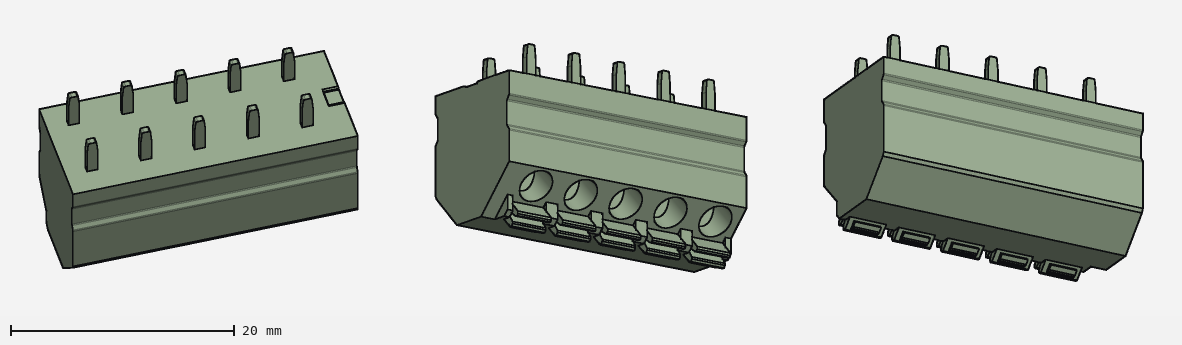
import cadquery as cq
import math

LENGTH = 26.5
WIDTH = 11.05
HEIGHT = 12.67
HALF_LENGTH = LENGTH / 2
HALF_WIDTH = WIDTH / 2

GROOVE_DEPTH = 0.35
GROOVE_FLANK_HEIGHT = 0.45
GROOVE_EDGE_RADIUS = 0.2
LEFT_GROOVE_TOP = -2.23
LEFT_GROOVE_BOTTOM = -5.45
RIGHT_GROOVE_TOP = -1.67
RIGHT_GROOVE_BOTTOM = -4.66

ENTRY_TOP = -8.45
ENTRY_BOTTOM_X = -HALF_WIDTH + HEIGHT + ENTRY_TOP

CORNER_TOP = -9.25
CORNER_BREAK_WIDTH = 0.19
CORNER_BREAK_HEIGHT = 0.37
BOTTOM_RIGHT_X = 2.3

POSITIONS = 5
FIRST_Y = 9.25
LAST_Y = -10.75
PITCH = (FIRST_Y - LAST_Y) / (POSITIONS - 1)
STATION_YS = [FIRST_Y - i * PITCH for i in range(POSITIONS)]

PIN_XS = (-3.15, 2.84)
PIN_THICKNESS = 0.6
PIN_WIDTH = 1.0
PIN_HEIGHT = 3.5
PIN_ROOT_DEPTH = 0.26
PIN_TAPER_HEIGHT = 1.22
PIN_TIP_WIDTH = 0.77
PIN_TIP_RADIUS = 0.19

HOLE_DIAMETER = 3.25
HOLE_Z = -9.8
HOLE_FLOOR_X = -1.78

LEVER_WIDTH = 3.7
HEEL_WIDTH = 2.65
RIB_START_Y = 11.7
RIB_FACE_X = -3.2
RIB_CHAMFER = 0.5
LEVER_BOTTOM = -13.57
LEVER_ROOT = 0.8

RECESS_X = 0.15
RECESS_LENGTH = 1.45
RECESS_TOP_WIDTH = 2.17
RECESS_STEP_WIDTH = 1.75
RECESS_FLOOR_WIDTH = 1.6
RECESS_DEPTH = 0.15


def entry_z(x):
    """Height of the 45 degree entry face at a given x."""
    return ENTRY_TOP - (x + HALF_WIDTH)


def extrude_along_y(points, y_start, y_end):
    """Prism with an XZ outline, running from y_start down to y_end."""
    plane = cq.Workplane("XZ", origin=(0, y_start, 0))
    return plane.polyline(points).close().extrude(y_start - y_end)


def round_groove_edges(housing, x):
    """Round the two lengthwise groove edges that lie at the given x."""
    left_zs = (LEFT_GROOVE_TOP, LEFT_GROOVE_BOTTOM)
    right_zs = (RIGHT_GROOVE_TOP, RIGHT_GROOVE_BOTTOM)
    top, bottom = left_zs if x < 0 else right_zs
    if abs(x) < HALF_WIDTH:
        top -= GROOVE_FLANK_HEIGHT
        bottom += GROOVE_FLANK_HEIGHT
    for z in (top, bottom):
        edge = housing.edges(cq.NearestToPointSelector((x, 0, z)))
        housing = edge.fillet(GROOVE_EDGE_RADIUS)
    return housing


def make_housing():
    left_inner = -HALF_WIDTH + GROOVE_DEPTH
    right_inner = HALF_WIDTH - GROOVE_DEPTH
    outline = [
        (-HALF_WIDTH, 0),
        (HALF_WIDTH, 0),
        (HALF_WIDTH, RIGHT_GROOVE_TOP),
        (right_inner, RIGHT_GROOVE_TOP - GROOVE_FLANK_HEIGHT),
        (right_inner, RIGHT_GROOVE_BOTTOM + GROOVE_FLANK_HEIGHT),
        (HALF_WIDTH, RIGHT_GROOVE_BOTTOM),
        (HALF_WIDTH, CORNER_TOP),
        (HALF_WIDTH - CORNER_BREAK_WIDTH, CORNER_TOP - CORNER_BREAK_HEIGHT),
        (BOTTOM_RIGHT_X, -HEIGHT),
        (ENTRY_BOTTOM_X, -HEIGHT),
        (-HALF_WIDTH, ENTRY_TOP),
        (-HALF_WIDTH, LEFT_GROOVE_BOTTOM),
        (left_inner, LEFT_GROOVE_BOTTOM + GROOVE_FLANK_HEIGHT),
        (left_inner, LEFT_GROOVE_TOP - GROOVE_FLANK_HEIGHT),
        (-HALF_WIDTH, LEFT_GROOVE_TOP),
    ]
    housing = extrude_along_y(outline, HALF_LENGTH, -HALF_LENGTH)
    for side in (-1, 1):
        for x in (HALF_WIDTH, HALF_WIDTH - GROOVE_DEPTH):
            housing = round_groove_edges(housing, side * x)
    return housing


def make_recess():
    floor_half = RECESS_FLOOR_WIDTH / 2
    step_half = RECESS_STEP_WIDTH / 2
    top_half = RECESS_TOP_WIDTH / 2
    outline = [
        (RECESS_X - top_half, 0),
        (RECESS_X - step_half, -RECESS_DEPTH / 2),
        (RECESS_X - floor_half, -RECESS_DEPTH),
        (RECESS_X + floor_half, -RECESS_DEPTH),
        (RECESS_X + step_half, -RECESS_DEPTH / 2),
        (RECESS_X + top_half, 0),
    ]
    return extrude_along_y(outline, HALF_LENGTH, HALF_LENGTH - RECESS_LENGTH)


def make_pin(x, y):
    """Flat pin standing on the top, narrowing in Y to a rounded tip."""
    shoulder_z = PIN_HEIGHT - PIN_TAPER_HEIGHT
    pin = (
        cq.Workplane("YZ", origin=(x - PIN_THICKNESS / 2, y, 0))
        .moveTo(-PIN_WIDTH / 2, -PIN_ROOT_DEPTH)
        .lineTo(PIN_WIDTH / 2, -PIN_ROOT_DEPTH)
        .lineTo(PIN_WIDTH / 2, shoulder_z)
        .lineTo(PIN_TIP_WIDTH / 2, PIN_HEIGHT)
        .lineTo(-PIN_TIP_WIDTH / 2, PIN_HEIGHT)
        .lineTo(-PIN_WIDTH / 2, shoulder_z)
        .close()
        .extrude(PIN_THICKNESS)
    )
    return pin.faces(">Z").edges("|X").fillet(PIN_TIP_RADIUS)


def make_wire_hole(y):
    """Cylinder along the inward normal of the entry face, cut off at the floor."""
    hole_x = ENTRY_TOP - HALF_WIDTH - HOLE_Z
    mouth = cq.Plane(origin=(hole_x, y, HOLE_Z), xDir=(0, 1, 0), normal=(1, 0, 1))
    reach = math.sqrt(2) * (HOLE_FLOOR_X - hole_x) + HOLE_DIAMETER
    cylinder = cq.Workplane(mouth).circle(HOLE_DIAMETER / 2).extrude(reach)
    keep_size = 2 * HEIGHT
    keep = cq.Workplane("XY").box(keep_size, keep_size, keep_size)
    return cylinder.intersect(keep.translate((HOLE_FLOOR_X - keep_size / 2, y, HOLE_Z)))


def make_rib(y_start, y_end):
    outline = [
        (RIB_FACE_X, entry_z(RIB_FACE_X)),
        (RIB_FACE_X, -HEIGHT + RIB_CHAMFER),
        (RIB_FACE_X + RIB_CHAMFER, -HEIGHT),
        (ENTRY_BOTTOM_X, -HEIGHT),
    ]
    return extrude_along_y(outline, y_start, y_end)


def extrude_at_station(points, y, width):
    """Prism with an XZ outline, centred on a contact position."""
    return extrude_along_y(points, y + width / 2, y - width / 2)


def make_lever(y):
    """Two blunt prongs split by a V notch, with a narrower heel behind the lower one."""
    lever_top_x = -2.78
    root = (ENTRY_BOTTOM_X, -HEIGHT + LEVER_ROOT)
    prongs = [
        (lever_top_x + LEVER_ROOT, entry_z(lever_top_x)),
        (lever_top_x, entry_z(lever_top_x)),
        (-3.95, -12.38),
        (-3.95, -12.61),
        (-3.85, -12.77),
        (-3.6, -12.77),
        (-2.17, -11.77),
        (-3.15, -13.17),
        (-3.15, -13.35),
        (-3.0, LEVER_BOTTOM),
        (-2.75, LEVER_BOTTOM),
        (-1.85, -HEIGHT),
        (ENTRY_BOTTOM_X, -HEIGHT),
        root,
    ]
    heel = [
        (-2.68, -13.5),
        (-2.4, -13.5),
        (-2.2, -13.4),
        (-1.85, -13.06),
        (-2.12, -12.83),
        (-1.95, -HEIGHT),
        root,
    ]
    lever = extrude_at_station(prongs, y, LEVER_WIDTH)
    return lever.union(extrude_at_station(heel, y, HEEL_WIDTH))


result = make_housing().cut(make_recess())

rib_start = RIB_START_Y
for station_y in STATION_YS:
    result = result.cut(make_wire_hole(station_y))
    result = result.union(make_rib(rib_start, station_y + LEVER_WIDTH / 2))
    result = result.union(make_lever(station_y))
    rib_start = station_y - LEVER_WIDTH / 2
    for pin_x in PIN_XS:
        result = result.union(make_pin(pin_x, station_y))
result = result.union(make_rib(rib_start, -HALF_LENGTH))